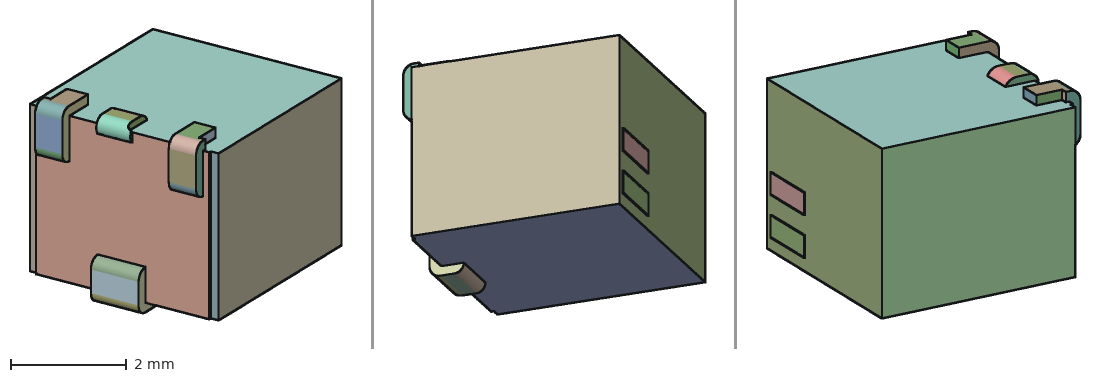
import cadquery as cq

case_width = 3.9
case_height = 3.15
case_front = -1.815
case_back = 2.075

panel_side_inset = 0.165
panel_front = -1.865
panel_width = case_width - 2 * panel_side_inset

lead_front = -2.09
bend_radius = 0.205

upper_top = case_height + 0.192
upper_bottom = 2.3
upper_outer_x = 1.665
upper_inner_x = 1.1
upper_tab_outer_x = 1.535
upper_tab_back = -1.28
upper_shoulder_back = -1.795

lower_width = 0.985
lower_center_x = -0.015
lower_top = 0.677
lower_bottom = -0.175
lower_back = -1.445
lower_bend_radius = 0.17

clip_left_x = -0.497
clip_right_x = 0.115
clip_flare_x = 0.205
clip_top = 3.295
clip_bottom = 2.968
clip_back = -1.27
clip_flat_back = -1.495
clip_flat_front = -1.74
clip_curl_radius = 0.2
clip_flare_back = -1.795

band_left_x = 0.665
band_right_x = 1.8
band_height = 0.42
band_bottoms = (0.255, 1.05)
band_thickness = 0.015


def block(x_range, y_range, z_range):
    """Axis-aligned block between pairs of limits."""
    corner = (x_range[0], y_range[0], z_range[0])
    return cq.Workplane("XY").box(
        x_range[1] - x_range[0],
        y_range[1] - y_range[0],
        z_range[1] - z_range[0],
        centered=False,
    ).translate(corner)


def make_case():
    half_case = case_width / 2
    half_panel = panel_width / 2
    case = block((-half_case, half_case), (case_front, case_back), (0, case_height))
    panel = block((-half_panel, half_panel), (panel_front, case_front), (0, case_height))
    return case.union(panel)


def make_upper_lead():
    """Right-hand upper lead: rounded front leg with a narrower tab lying on the case."""
    leg = block(
        (upper_inner_x, upper_outer_x),
        (lead_front, panel_front),
        (upper_bottom, upper_top),
    ).edges("|X and <Y").fillet(bend_radius)
    shoulder = block(
        (upper_inner_x, upper_outer_x),
        (panel_front, upper_shoulder_back),
        (case_height, upper_top),
    )
    tab = block(
        (upper_inner_x, upper_tab_outer_x),
        (upper_shoulder_back, upper_tab_back),
        (case_height, upper_top),
    )
    return leg.union(shoulder).union(tab)


def make_lower_lead():
    """Lower lead: front leg whose foot wraps under the case."""
    x_range = (lower_center_x - lower_width / 2, lower_center_x + lower_width / 2)
    lead = block(x_range, (lead_front, lower_back), (lower_bottom, lower_top))
    lead = lead.edges("|X and <Y").fillet(bend_radius)
    lead = lead.edges("|X and >Y and <Z").fillet(lower_bend_radius)
    return lead.cut(block(x_range, (panel_front, lower_back), (0, lower_top)))


def clip_section(left_x, right_x):
    """Clip profile in the YZ plane, extruded between two X positions."""
    curl_center_z = clip_top - clip_curl_radius
    curl_drop = curl_center_z - clip_bottom
    curl_end = clip_flat_front - (clip_curl_radius**2 - curl_drop**2) ** 0.5
    curl_front = clip_flat_front - clip_curl_radius
    rear_rise = clip_top - case_height
    rear_run = clip_back - clip_flat_back
    rear_radius = (rear_run**2 + rear_rise**2) / (2 * rear_rise)
    return (
        cq.Workplane("YZ", origin=(left_x, 0, 0))
        .moveTo(clip_flat_front, clip_top)
        .threePointArc((curl_front, curl_center_z), (curl_end, clip_bottom))
        .lineTo(panel_front, clip_bottom)
        .lineTo(panel_front, case_height)
        .lineTo(clip_back, case_height)
        .radiusArc((clip_flat_back, clip_top), -rear_radius)
        .close()
        .extrude(right_x - left_x)
    )


def make_clip():
    """Curled clip with a flare on its right, trimmed by a slanted corner plane."""
    flare_plane = cq.Plane(
        origin=(clip_right_x, clip_flare_back, case_height),
        normal=(1, 1, 1),
    )
    flare_waste = cq.Workplane(flare_plane).rect(case_width, case_width).extrude(case_width)
    flare = clip_section(clip_right_x, clip_flare_x).cut(flare_waste)
    return clip_section(clip_left_x, clip_right_x).union(flare)


def make_band(bottom_z):
    return block(
        (band_left_x, band_right_x),
        (case_back, case_back + band_thickness),
        (bottom_z, bottom_z + band_height),
    )


upper_lead = make_upper_lead()

result = make_case()
result = result.union(upper_lead).union(upper_lead.mirror("YZ"))
result = result.union(make_lower_lead())
result = result.union(make_clip())
for band_bottom in band_bottoms:
    result = result.union(make_band(band_bottom))